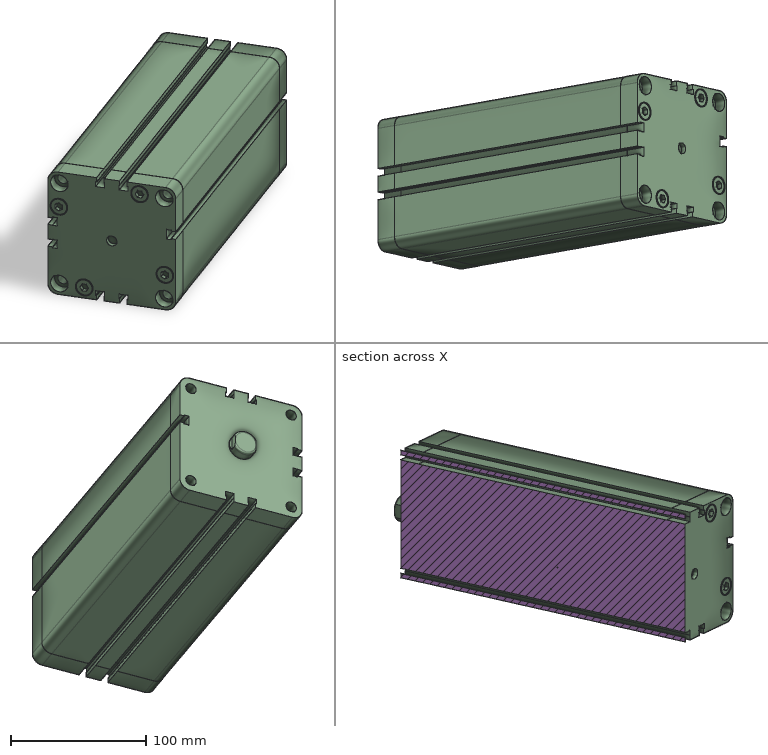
import cadquery as cq
import math

CAP_SIDE = 100.0
TUBE_INSET = 0.1
TUBE_SIDE = CAP_SIDE - 2 * TUBE_INSET
CORNER_RADIUS = 8.0

HOUSING_LENGTH = 256.0
CAP_LENGTH = 16.5
TUBE_LENGTH = HOUSING_LENGTH - 2 * CAP_LENGTH

RIB_WIDTH = 12.0
GROOVE_DEPTH = 7.4
LIP_DEPTH = 3.7
LIP_OFFSET = 11.8
UNDERCUT = 0.8
RIB_UNDERCUT = 0.2

T_GROOVE_Z = 11.9
T_GROOVE_MOUTH = 6.2
T_GROOVE_WIDTH = T_GROOVE_MOUTH + 2 * UNDERCUT

MOUNT_OFFSET = 41.0
MOUNT_DIAMETER = 8.38
MOUNT_BORE_DIAMETER = 13.5
MOUNT_BORE_DEPTH = 9.0

SCREW_OFFSET = 41.4
SCREW_SIDE_OFFSET = 21.6
SCREW_BORE_DIAMETER = 13.5
SCREW_HEAD_DIAMETER = 12.5
SCREW_GAP_DEPTH = 0.6
SOCKET_ACROSS_FLATS = 5.6
SOCKET_DEPTH = 4.0

CENTRE_HOLE_DIAMETER = 8.0
CENTRE_HOLE_DEPTH = 4.0

ROD_DIAMETER = 20.0
ROD_LENGTH = 8.0
ROD_TIP = HOUSING_LENGTH + ROD_LENGTH
ROD_TIP_RADIUS = 1.6
ROD_ACROSS_FLATS = 17.0
ROD_FLAT_LENGTH = 5.8
ROD_RUNOUT_LENGTH = 1.5


def front_plane(y=0.0):
    """Workplane facing -Y at the given y; local x is X and local y is Z."""
    return cq.Workplane("XZ", origin=(0, y, 0))


def turned(shape, angle):
    """The shape turned about the housing axis."""
    return shape.rotate((0, 0, 0), (0, 1, 0), angle)


def rib_groove(side, start, length):
    """Groove on the +X side of the rib of the top face."""
    top = side / 2
    floor = top - GROOVE_DEPTH
    lip_bottom = top - LIP_DEPTH
    rib_wall = RIB_WIDTH / 2
    outer_wall = LIP_OFFSET + UNDERCUT
    outline = [
        (rib_wall, top),
        (rib_wall, lip_bottom),
        (rib_wall - RIB_UNDERCUT, lip_bottom),
        (rib_wall - RIB_UNDERCUT, floor),
        (outer_wall, floor),
        (outer_wall, lip_bottom),
        (LIP_OFFSET, lip_bottom),
        (LIP_OFFSET, top),
    ]
    return front_plane(start).polyline(outline).close().extrude(-length)


def t_groove(side, start, length):
    """T-shaped groove in the +X face."""
    floor = side / 2 - GROOVE_DEPTH
    undercut_depth = GROOVE_DEPTH - LIP_DEPTH
    mouth = (
        front_plane(start)
        .center(floor + GROOVE_DEPTH / 2, T_GROOVE_Z)
        .rect(GROOVE_DEPTH, T_GROOVE_MOUTH)
        .extrude(-length)
    )
    undercut = (
        front_plane(start)
        .center(floor + undercut_depth / 2, T_GROOVE_Z)
        .rect(undercut_depth, T_GROOVE_WIDTH)
        .extrude(-length)
    )
    return mouth.union(undercut)


def profile(side, start, length):
    """Grooved length of the housing, beginning at y = start."""
    section = front_plane(start).rect(side, side).extrude(-length)
    section = section.edges("|Y").fillet(CORNER_RADIUS)
    right_groove = rib_groove(side, start, length)
    left_groove = right_groove.mirror("YZ")
    for angle in (0, 180, 270):
        section = section.cut(turned(right_groove, angle))
        section = section.cut(turned(left_groove, angle))
    return section.cut(t_groove(side, start, length))


def housing():
    front_cap = profile(CAP_SIDE, 0, CAP_LENGTH)
    tube = profile(TUBE_SIDE, CAP_LENGTH, TUBE_LENGTH)
    rear_cap = profile(CAP_SIDE, CAP_LENGTH + TUBE_LENGTH, CAP_LENGTH)
    return front_cap.union(tube).union(rear_cap)


def mounting_holes():
    """Counterbored through holes in the four corners."""
    pitch = 2 * MOUNT_OFFSET
    corners = front_plane().rect(pitch, pitch, forConstruction=True).vertices()
    bores = corners.circle(MOUNT_BORE_DIAMETER / 2).extrude(-MOUNT_BORE_DEPTH)
    holes = corners.circle(MOUNT_DIAMETER / 2).extrude(-HOUSING_LENGTH)
    return bores.union(holes)


def screw_recess():
    """Gap around one screw head together with its hexagon socket."""
    seat = front_plane().center(SCREW_SIDE_OFFSET, SCREW_OFFSET)
    gap = (
        seat.circle(SCREW_BORE_DIAMETER / 2)
        .circle(SCREW_HEAD_DIAMETER / 2)
        .extrude(-SCREW_GAP_DEPTH)
    )
    across_corners = SOCKET_ACROSS_FLATS / math.cos(math.pi / 6)
    socket = seat.polygon(6, across_corners).extrude(-SOCKET_DEPTH)
    return gap.union(socket)


def centre_hole():
    return front_plane().circle(CENTRE_HOLE_DIAMETER / 2).extrude(-CENTRE_HOLE_DEPTH)


def rod_flat():
    """Material removed for the flat on the +X side, with its sloped run-out."""
    radius = ROD_DIAMETER / 2
    flat_x = ROD_ACROSS_FLATS / 2
    flat_end = ROD_TIP - ROD_FLAT_LENGTH
    outline = [
        (flat_x, ROD_TIP),
        (flat_x, flat_end),
        (radius, flat_end - ROD_RUNOUT_LENGTH),
        (radius, ROD_TIP),
    ]
    return cq.Workplane("XY").polyline(outline).close().extrude(radius, both=True)


def rod_end():
    rod = front_plane(HOUSING_LENGTH).circle(ROD_DIAMETER / 2).extrude(-ROD_LENGTH)
    rod = rod.faces(">Y").edges().fillet(ROD_TIP_RADIUS)
    flat = rod_flat()
    return rod.cut(flat).cut(flat.mirror("YZ"))


body = housing().cut(mounting_holes()).cut(centre_hole())
for angle in (0, 90, 180, 270):
    body = body.cut(turned(screw_recess(), angle))
result = body.union(rod_end())